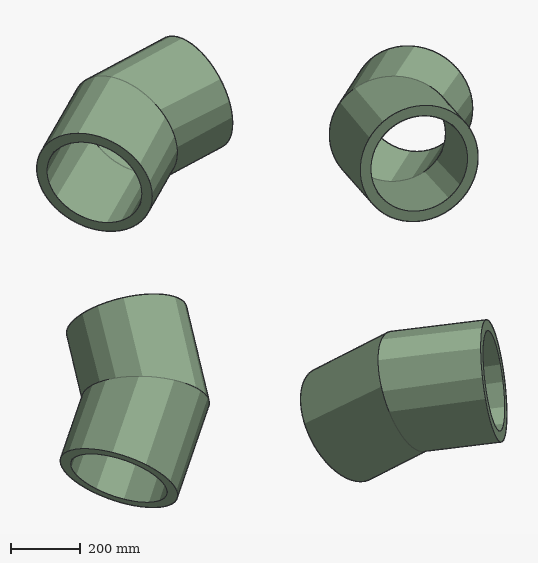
import cadquery as cq
import math

overall_length = 564.0
outer_diameter = 355.0
wall = 32.0
bend_angle = 30.0

outer_radius = outer_diameter / 2
inner_radius = outer_radius - wall
bend = math.radians(bend_angle)

rim_reach = outer_radius * math.sin(bend)
leg_length = (overall_length - rim_reach) / (1 + math.cos(bend))

mitre_normal = (math.sin(bend / 2), math.cos(bend / 2), 0)
mitre_plane = cq.Plane(origin=(0, 0, 0), xDir=(0, 0, 1), normal=mitre_normal)


def mitred_leg():
    """Straight pipe along Y from its square end to the mitre plane."""
    square_end = cq.Workplane("XZ", origin=(0, -leg_length, 0))
    pipe = (
        square_end.circle(outer_radius)
        .circle(inner_radius)
        .extrude(-(leg_length + outer_diameter))
    )
    block_side = 2 * overall_length
    beyond_mitre = cq.Workplane(mitre_plane).rect(block_side, block_side).extrude(block_side)
    return pipe.cut(beyond_mitre)


near_leg = mitred_leg()
far_leg = near_leg.mirror(cq.Vector(*mitre_normal))

result = near_leg.union(far_leg)